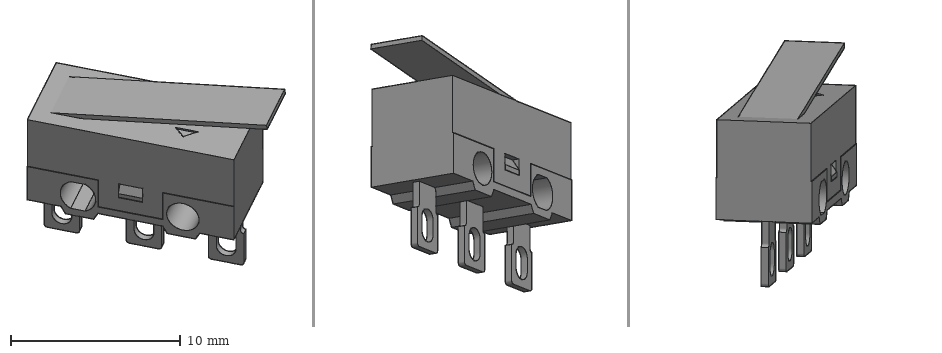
import cadquery as cq
import math

body_length = 12.8
base_width = 5.8
cover_width = 5.7
body_height = 6.0
base_height = 2.5

tab_width = 4.0
tab_bottom = 0.5

window_width = 1.5
window_height = 1.0
catch_lip_height = 0.3
catch_depth = 0.5

hole_spacing = 6.5
hole_diameter = 2.0
hole_height = hole_diameter / 2
slot_round_diameter = 2.2
lug_spacing = 6.3
lug_top_width = 2.3
lug_bottom_width = 1.76
lug_depth = 0.5

terminal_pitch = 5.09
terminal_length = 4.0
terminal_thickness = 0.45
neck_width = 1.8
neck_length = 1.6
blade_width = 2.2
blade_corner_radius = 0.2
eye_width = 1.2
eye_length = 2.0
eye_margin = 0.5

total_length = 14.53
lever_rise = 2.21
lever_thickness = 0.3
lever_width = 3.6
lever_root_inset = 1.15

plunger_left = -2.53
plunger_right = -1.45
plunger_width = 1.45
plunger_left_angle = 27
plunger_right_angle = 55
plunger_height = 0.35

mark_tip_x = 2.88
mark_tip_y = -1.63
mark_half_width = 0.7
mark_depth = 0.1


def side_profile(points, width):
    """Extrude an XZ outline symmetrically about the XZ plane."""
    return cq.Workplane("XZ").polyline(points).close().extrude(width / 2, both=True)


def box(length, width, bottom, top):
    """Box centred on X and Y between two heights."""
    block = cq.Workplane("XY").box(length, width, top - bottom, centered=(True, True, False))
    return block.translate((0, 0, bottom))


def make_lug(center_x):
    return side_profile(
        [
            (center_x - lug_top_width / 2, 0),
            (center_x - lug_bottom_width / 2, -lug_depth),
            (center_x + lug_bottom_width / 2, -lug_depth),
            (center_x + lug_top_width / 2, 0),
        ],
        base_width,
    )


def make_catch(side):
    """Wedge inside the tab window: upright lip below, ramp falling away inwards above."""
    window_bottom = base_height - window_height
    lip_top = window_bottom + catch_lip_height
    face = side * base_width / 2
    outline = [
        (0, window_bottom),
        (face, window_bottom),
        (face, lip_top),
        (face - side * catch_depth, base_height),
        (0, base_height),
    ]
    return cq.Workplane("YZ").polyline(outline).close().extrude(window_width / 2, both=True)


def make_housing():
    housing = box(body_length, base_width, 0, base_height)
    for side in (-1, 1):
        tab_recess = box(tab_width, base_width, tab_bottom, base_height)
        tab_recess = tab_recess.translate((0, side * (base_width + cover_width) / 2, 0))
        housing = housing.cut(tab_recess)
    housing = housing.union(box(body_length, cover_width, base_height, body_height))
    housing = housing.cut(box(window_width, base_width, base_height - window_height, base_height))
    for side in (-1, 1):
        housing = housing.union(make_catch(side))
        housing = housing.union(make_lug(side * lug_spacing / 2))
    return housing


def make_round_hole():
    hole = cq.Workplane("XZ").center(hole_spacing / 2, hole_height)
    return hole.circle(hole_diameter / 2).extrude(base_width, both=True)


def make_slotted_hole():
    """Wider round hole, flattened above and below to the height of the round one."""
    hole = cq.Workplane("XZ").circle(slot_round_diameter / 2).extrude(base_width, both=True)
    flats = cq.Workplane("XY").box(slot_round_diameter, 2 * base_width, hole_diameter)
    return hole.intersect(flats).translate((-hole_spacing / 2, 0, hole_height))


def make_terminal(center_x):
    blade = (
        box(blade_width, terminal_thickness, -terminal_length, -neck_length)
        .edges("|Y and <Z")
        .fillet(blade_corner_radius)
    )
    terminal = blade.union(box(neck_width, terminal_thickness, -neck_length, 0))
    shoulder = (blade_width - neck_width) / 2
    for side in (-1, 1):
        neck_side = side * neck_width / 2
        mid = shoulder * (1 - math.sqrt(0.5))
        fillet = (
            cq.Workplane("XZ")
            .moveTo(neck_side, -neck_length)
            .lineTo(neck_side, -neck_length + shoulder)
            .threePointArc(
                (neck_side + side * mid, -neck_length + mid),
                (neck_side + side * shoulder, -neck_length),
            )
            .close()
            .extrude(terminal_thickness / 2, both=True)
        )
        terminal = terminal.union(fillet)
    eye = (
        cq.Workplane("XZ")
        .center(0, -terminal_length + eye_margin + eye_length / 2)
        .slot2D(eye_length, eye_width, 90)
        .extrude(terminal_thickness, both=True)
    )
    return terminal.cut(eye).translate((center_x, 0, 0))


def make_lever():
    """Flat strip rising at a slant out of the top of the cover."""
    root_x = -body_length / 2 + lever_root_inset
    end_x = -body_length / 2 + total_length
    angle = math.atan2(lever_rise, end_x - root_x)
    tip_x = end_x - lever_thickness * math.sin(angle)
    tip_z = body_height + lever_rise
    return side_profile(
        [
            (root_x, body_height),
            (tip_x, tip_z),
            (end_x, tip_z - lever_thickness * math.cos(angle)),
            (root_x + lever_thickness / math.sin(angle), body_height),
        ],
        lever_width,
    )


def make_plunger():
    """Sloped-sided button whose top ends inside the lever."""
    top = body_height + plunger_height
    left_run = plunger_height / math.tan(math.radians(plunger_left_angle))
    right_run = plunger_height / math.tan(math.radians(plunger_right_angle))
    return side_profile(
        [
            (plunger_left, body_height),
            (plunger_left + left_run, top),
            (plunger_right - right_run, top),
            (plunger_right, body_height),
        ],
        plunger_width,
    )


def make_mark():
    return (
        cq.Workplane("XY", origin=(mark_tip_x, mark_tip_y, body_height))
        .polyline([(0, 0), (mark_half_width, mark_half_width), (-mark_half_width, mark_half_width)])
        .close()
        .extrude(-mark_depth)
    )


result = make_housing().cut(make_round_hole()).cut(make_slotted_hole()).cut(make_mark())
for position in (-1, 0, 1):
    result = result.union(make_terminal(position * terminal_pitch))
result = result.union(make_lever()).union(make_plunger())